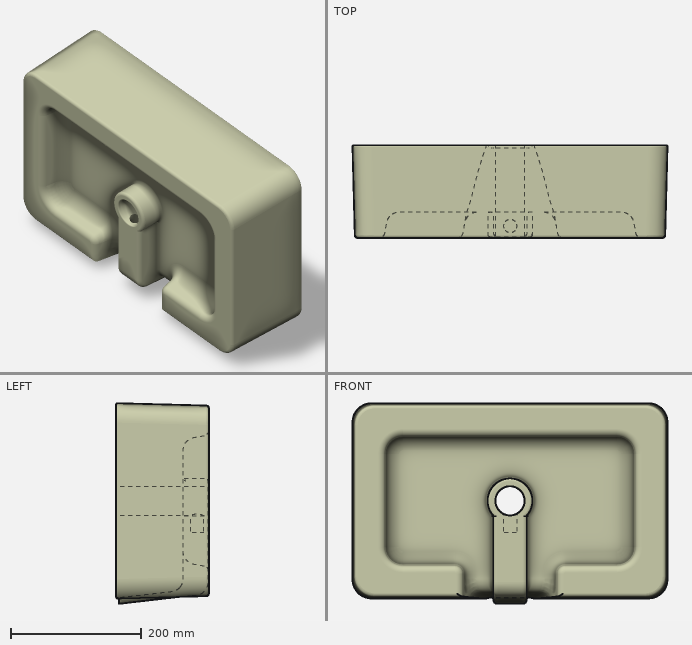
import cadquery as cq
import math

width = 485.0
height = 300.5
depth = 143.0
body_draft = 1.5
body_corner_radius = 30.0
front_edge_radius = 5.0
back_edge_radius = 3.0

pocket_half_width = 194.5
pocket_top = 102.0
pocket_bottom = -101.5
pocket_depth = 40.2
pocket_draft = 10.0
pocket_corner_radius = 30.0
floor_radius = 20.0
lip_radius = 10.0

gap_half_width = 74.0
gap_corner_radius = 10.5
recess_edge = -137.0
bend_radius = 20.0
lower_slope = 6.6

boss_radius = 34.5
boss_edge_radius = 4.5
boss_front = 2.0
drain_radius = 22.5
drain_edge_radius = 2.0
rib_half_width = 25.5
rib_back = 138.5
rib_bottom = -158.5
rib_edge_radius = 6.5
base_radius = 3.5

overflow_radius = 10.0
overflow_y = 19.0
overflow_end = -48.5

clearance = 48.5


def facing_back(y):
    """Workplane at y whose normal is +Y, with Z up."""
    return cq.Workplane(cq.Plane(origin=(0, y, 0), xDir=(-1, 0, 0), normal=(0, 1, 0)))


def nearest(x, y, z):
    """Selector for the item whose centre is nearest to a point."""
    return cq.selectors.NearestToPointSelector((x, y, z))


def box_around(point, reach):
    """Selector for what lies within reach of a point."""
    low = tuple(value - reach for value in point)
    high = tuple(value + reach for value in point)
    return cq.selectors.BoxSelector(low, high)


def slope_rise(length):
    """Height gained by a sloping lower plane over a length along Y."""
    return length * math.tan(math.radians(lower_slope))


def make_body():
    """Drafted block, grown at the back so that the rounded rim keeps the outer size."""
    draft = math.radians(body_draft)
    rim_loss = back_edge_radius * (math.tan(draft) + 1 / math.cos(draft) - 1)
    block = (
        cq.Workplane("XZ", origin=(0, depth, 0))
        .rect(width + 2 * rim_loss, height + 2 * rim_loss)
        .extrude(depth, taper=body_draft)
    )
    block = block.edges("not(|X or |Z)").fillet(body_corner_radius)
    block = block.faces("<Y").edges().fillet(front_edge_radius)
    return block.faces(">Y").edges().fillet(back_edge_radius)


def make_pocket():
    """Solid that fills the pocket and the gap: tapering walls in front of a bent floor."""
    below = -height / 2 - clearance
    pocket_height = pocket_top - pocket_bottom
    margin = gap_corner_radius / 2
    outline = (
        cq.Sketch()
        .push([(0, (pocket_top + pocket_bottom) / 2)])
        .rect(2 * pocket_half_width, pocket_height)
        .reset()
        .vertices()
        .fillet(pocket_corner_radius)
        .reset()
        .push([(0, (pocket_top + below) / 2)])
        .rect(2 * gap_half_width, pocket_top - below)
        .reset()
        .clean()
        .vertices(box_around((0, pocket_bottom, 0), gap_half_width + margin))
        .fillet(gap_corner_radius)
    )
    walls = facing_back(0).placeSketch(outline).extrude(depth, taper=pocket_draft)

    far = depth + clearance
    floor = (
        cq.Workplane("YZ")
        .moveTo(-clearance, height)
        .lineTo(pocket_depth, height)
        .lineTo(pocket_depth, recess_edge)
        .lineTo(far, recess_edge - slope_rise(far - pocket_depth))
        .lineTo(far, -height)
        .lineTo(-clearance, -height)
        .close()
        .extrude(width, both=True)
    )
    bend = nearest(0, pocket_depth, recess_edge)
    floor = floor.edges(bend).fillet(bend_radius)
    tool = walls.intersect(floor)
    floor_seed = nearest(0, pocket_depth, pocket_top)
    return tool.edges(floor_seed).fillet(floor_radius)


def make_boss():
    """Round boss, running back into the body, with a rounded front edge."""
    boss = facing_back(boss_front).circle(boss_radius).extrude(rib_back - boss_front)
    return boss.faces("<Y").edges().fillet(boss_edge_radius)


def make_rib():
    """Rib level with the boss, bent round at its lower end onto the sloping plane."""
    rib_front_bottom = rib_bottom + slope_rise(rib_back - boss_front)
    rib = (
        cq.Workplane("YZ")
        .moveTo(boss_front, 0)
        .lineTo(boss_front, rib_front_bottom)
        .lineTo(rib_back, rib_bottom)
        .lineTo(rib_back, 0)
        .close()
        .extrude(rib_half_width, both=True)
    )
    bend = nearest(0, boss_front, rib_front_bottom)
    rib = rib.edges(bend).fillet(bend_radius)
    return rib.faces("<Y").edges("|Z").fillet(rib_edge_radius)


def make_pocketed_plate():
    """Plate larger than the body, holding the pocket with its rounded lip."""
    plate = cq.Workplane("XY").box(2 * width, depth, height + clearance).translate((0, depth / 2, 0))
    plate = plate.cut(make_pocket())
    lip_seed = nearest(0, 0, pocket_top)
    return plate.edges(lip_seed).fillet(lip_radius)


def round_neck_base(part):
    """Round the foot of the boss and of both rib flanks where they meet the pocket floor."""
    boss_foot = nearest(0, pocket_depth, boss_radius)
    left_foot = nearest(-rib_half_width, pocket_depth, recess_edge / 2)
    right_foot = nearest(rib_half_width, pocket_depth, recess_edge / 2)
    return part.edges(boss_foot + left_foot + right_foot).fillet(base_radius)


def cut_drain(part):
    """Through hole with a rounded mouth, and the blind overflow hole below it."""
    drain = facing_back(-clearance).circle(drain_radius).extrude(depth + 2 * clearance)
    overflow = cq.Workplane("XY", origin=(0, overflow_y, 0)).circle(overflow_radius).extrude(overflow_end)
    part = part.cut(drain)
    part = part.edges(nearest(0, boss_front, 0)).fillet(drain_edge_radius)
    return part.cut(overflow)


basin = make_body().intersect(make_pocketed_plate())
basin = basin.union(make_boss()).union(make_rib())
basin = round_neck_base(basin)
result = cut_drain(basin)